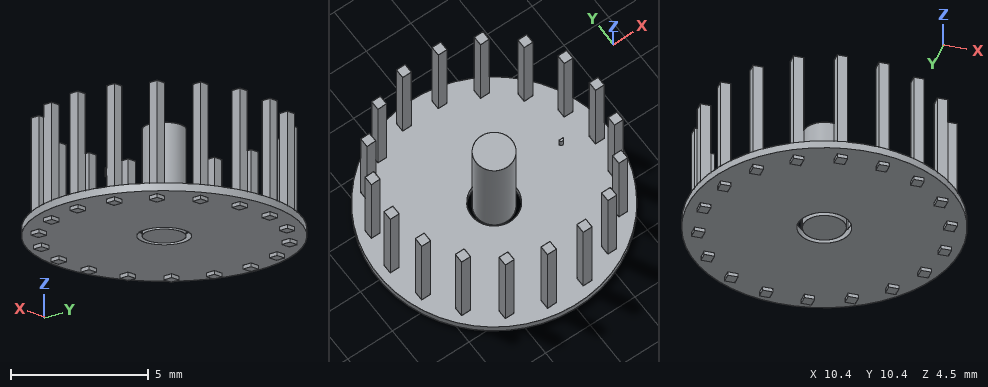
import cadquery as cq
import math

plate_diameter = 10.4
plate_thickness = 0.3
hole_diameter = 2.0

pin_count = 18
pin_width = 0.4
pin_ring_radius = 4.6
pin_total_height = 4.5
pin_projection_below = 0.15
pin_top_z = pin_total_height - pin_projection_below

shaft_diameter = 1.6
shaft_drop_below_pins = 0.25
shaft_bottom_z = 0.0
shaft_top_z = pin_top_z - shaft_drop_below_pins

key_diameter = 0.2
key_height = 0.3
key_offset_x = 3.0
key_clearance = 1.27
key_bottom_z = plate_thickness + key_clearance


def make_pin(angle):
    """Square pin at the given ring angle, with its sides parallel to X and Y."""
    return (
        cq.Workplane("XY", origin=(0, 0, -pin_projection_below))
        .center(pin_ring_radius * math.cos(angle), pin_ring_radius * math.sin(angle))
        .rect(pin_width, pin_width)
        .extrude(pin_total_height)
    )


def make_pin_plate():
    """Round plate with a central hole, in one piece with its ring of pins."""
    pin_plate = (
        cq.Workplane("XY")
        .circle(plate_diameter / 2)
        .circle(hole_diameter / 2)
        .extrude(plate_thickness)
    )
    for index in range(pin_count):
        pin_plate = pin_plate.union(make_pin(2 * math.pi * index / pin_count))
    return pin_plate


def make_shaft():
    """Plain cylinder on the plate axis."""
    return (
        cq.Workplane("XY", origin=(0, 0, shaft_bottom_z))
        .circle(shaft_diameter / 2)
        .extrude(shaft_top_z - shaft_bottom_z)
    )


def make_key():
    """Half cylinder whose round side faces -Y."""
    key_radius = key_diameter / 2
    return (
        cq.Workplane("XY", origin=(key_offset_x, 0, key_bottom_z))
        .moveTo(-key_radius, 0)
        .threePointArc((0, -key_radius), (key_radius, 0))
        .close()
        .extrude(key_height)
    )


pin_plate = make_pin_plate()
shaft = make_shaft()
key = make_key()

result = cq.Compound.makeCompound([pin_plate.val(), shaft.val(), key.val()])